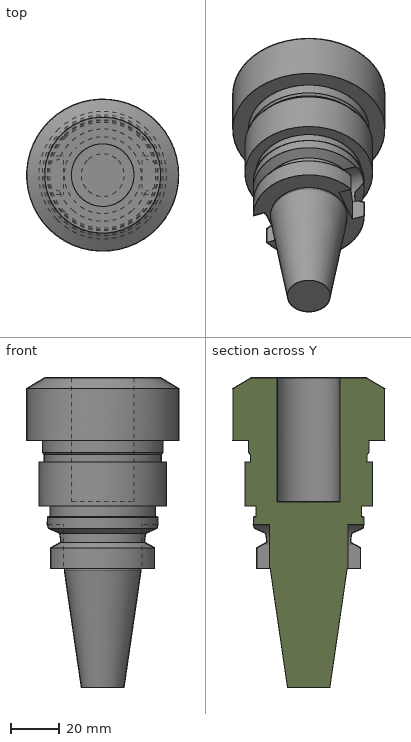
import cadquery as cq

total_height = 128.4
taper_top_z = 48.5
flange_bottom_z = 49.3
lower_flange_edge_z = 57.9
groove_bottom_z = 60.2
groove_top_z = 64.0
upper_flange_edge_z = 66.0
flange_top_z = 70.9
collar_bottom_z = 75.2
collar_top_z = 93.5
relief_top_z = 96.5
shoulder_bottom_z = 97.5
nut_bottom_z = 102.3
nut_chamfer_z = 123.9

taper_small_radius = 8.9
taper_large_radius = 15.9
flange_radius = 23.0
groove_radius = 19.1
neck_radius = 22.0
collar_radius = 26.5
relief_radius = 24.3
shoulder_radius = 25.0
nut_radius = 31.52
nut_face_radius = 24.0
flange_top_chamfer = 0.4

bore_radius = 13.0
bore_depth = 51.4

slot_width = 15.9
slot_top_z = 67.5
slot_floor_x = 16.3


def make_holder_body():
    """Revolve the half profile of the taper, flange, collar and nut."""
    profile = [
        (0, 0),
        (taper_small_radius, 0),
        (taper_large_radius, taper_top_z),
        (taper_large_radius, flange_bottom_z),
        (flange_radius, flange_bottom_z),
        (flange_radius, lower_flange_edge_z),
        (groove_radius, groove_bottom_z),
        (groove_radius, groove_top_z),
        (flange_radius, upper_flange_edge_z),
        (flange_radius, flange_top_z - flange_top_chamfer),
        (flange_radius - flange_top_chamfer, flange_top_z),
        (neck_radius, flange_top_z),
        (neck_radius, collar_bottom_z),
        (collar_radius, collar_bottom_z),
        (collar_radius, collar_top_z),
        (relief_radius, collar_top_z),
        (relief_radius, relief_top_z),
        (shoulder_radius, shoulder_bottom_z),
        (shoulder_radius, nut_bottom_z),
        (nut_radius, nut_bottom_z),
        (nut_radius, nut_chamfer_z),
        (nut_face_radius, total_height),
        (0, total_height),
    ]
    half_section = cq.Workplane("XZ").polyline(profile).close()
    return half_section.revolve(360, (0, 0, 0), (0, 1, 0))


def make_bore():
    """Blind bore entering from the nut face."""
    bore_floor = cq.Workplane("XY").workplane(offset=total_height - bore_depth)
    return bore_floor.circle(bore_radius).extrude(bore_depth)


def make_drive_slot(side):
    """Round-topped slot cutter on the X side given by side (+1 or -1)."""
    half_width = slot_width / 2
    arc_center_z = slot_top_z - half_width
    cut_length = flange_radius - slot_floor_x
    outline = (
        cq.Workplane("YZ", origin=(side * slot_floor_x, 0, 0))
        .moveTo(-half_width, flange_bottom_z)
        .lineTo(-half_width, arc_center_z)
        .threePointArc((0, slot_top_z), (half_width, arc_center_z))
        .lineTo(half_width, flange_bottom_z)
        .close()
    )
    return outline.extrude(side * cut_length)


result = make_holder_body().cut(make_bore())
for side in (-1, 1):
    result = result.cut(make_drive_slot(side))